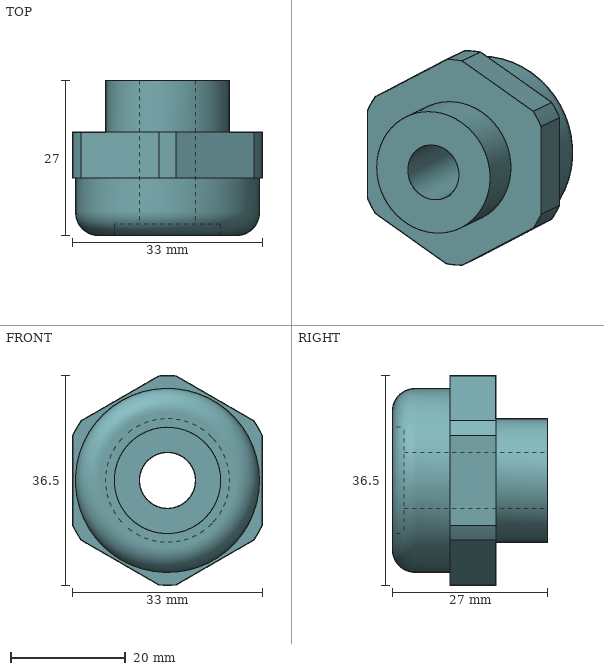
import cadquery as cq

cap_length = 10.0
hex_length = 8.0
spigot_length = 9.0
recess_depth = 2.0
total_length = cap_length + hex_length + spigot_length

hex_across_flats = 33.0
hex_corner_diameter = 36.5
cap_diameter = 32.0
cap_rounding = 4
spigot_diameter = 21.53
recess_diameter = 18.5
bore_diameter = 9.7


def cylinder(diameter, start, length):
    """Cylinder on the Y axis running toward +Y from Y = start."""
    plane = cq.Workplane("XZ", origin=(0, start, 0))
    return plane.circle(diameter / 2).extrude(-length)


def hex_flange():
    """Hexagon with flats facing +X and -X, its corners turned down to a circle."""
    flange = cylinder(hex_corner_diameter, cap_length, hex_length)
    hexagon = (
        cq.Workplane("XZ", origin=(0, cap_length, 0))
        .polygon(6, hex_across_flats, circumscribed=True)
        .extrude(-hex_length)
    )
    return flange.intersect(hexagon)


def rounded_cap():
    """Front cap with a generous rounding around its face."""
    return cylinder(cap_diameter, 0, cap_length).faces("<Y").edges().fillet(cap_rounding)


spigot = cylinder(spigot_diameter, cap_length + hex_length, spigot_length)
recess = cylinder(recess_diameter, 0, recess_depth)
bore = cylinder(bore_diameter, 0, total_length)

result = rounded_cap().union(hex_flange()).union(spigot).cut(recess).cut(bore)